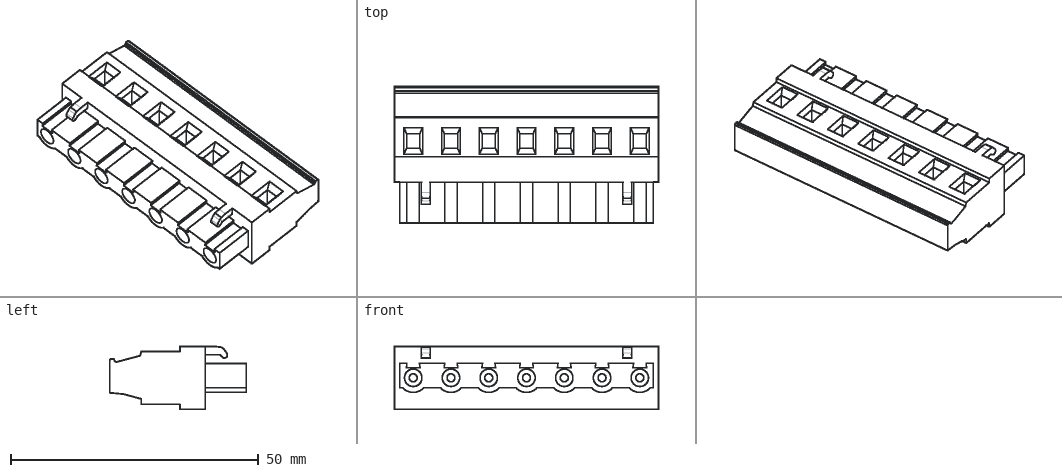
import cadquery as cq


pole_count = 7
length = 53.35
pitch = length / pole_count
pole_xs = [(i - (pole_count - 1) / 2) * pitch for i in range(pole_count)]

height = 12.7
housing_depth = 19.3
flange_depth = 5.1
flange_step = 1.0
middle_back = 12.95
slope_start = 13.2
slope_top_start = height - 1.85
slope_top_end = height - 3.15
slope_bottom_start = 2.1
slope_bottom_middle = 3.05
slope_bottom_middle_y = 16.55
slope_bottom_end = 3.3
lip_top = height - 2.5
lip_front = housing_depth - 0.85
lip_foot = housing_depth - 1.0
lip_chamfer = 0.25
groove_end = housing_depth - 1.35
groove_rise = 0.2

plug_length = 8.25
plug_margin = 1.05
plug_top = height - 3.4
plug_bottom = height - 8.3
contact_z = height - 6.35
barrel_radius = 2.95
keyway_mouth_width = 2.5
keyway_floor_width = 2.8
keyway_depth = 0.85

contact_mouth = 3.5
contact_bore = 1.6
contact_cone_depth = 1.6
contact_bore_depth = 6.4

well_y = 8.3
well_width = 3.8
well_length = 5.35
well_floor_width = 2.65
well_floor_length = 3.0
well_taper_depth = 1.2
well_depth = 5.85

hook_offset = 20.3
hook_width = 1.75
hook_thickness = 1.7
hook_upper_corners = [(2.05, 0), (3.25, 0.15), (3.75, 0.55), (4.3, 1.35)]
hook_nose = (4.3, 2.15)
hook_barb = (3.65, 2.35)
hook_lower_bend = 2.95


def make_housing():
    top_middle = height - flange_step
    profile = [
        (0, 0),
        (0, height),
        (flange_depth, height),
        (flange_depth, top_middle),
        (middle_back, top_middle),
        (slope_start, slope_top_start),
        (groove_end, slope_top_end),
        (lip_foot, slope_top_end + groove_rise),
        (lip_front, lip_top),
        (housing_depth - lip_chamfer, lip_top),
        (housing_depth, lip_top - lip_chamfer),
        (housing_depth, slope_bottom_end),
        (slope_bottom_middle_y, slope_bottom_middle),
        (middle_back, slope_bottom_start),
        (middle_back, flange_step),
        (flange_depth, flange_step),
        (flange_depth, 0),
    ]
    return cq.Workplane("YZ").polyline(profile).close().extrude(length / 2, both=True)


def make_plug():
    width = length - 2 * plug_margin
    plug = cq.Workplane("XY").box(
        width, plug_length, plug_top - plug_bottom, centered=(True, False, False)
    ).translate((0, -plug_length, plug_bottom))
    barrels = (
        cq.Workplane("XZ")
        .pushPoints([(x, contact_z) for x in pole_xs])
        .circle(barrel_radius)
        .extrude(plug_length)
    )
    barrel_zone = cq.Workplane("XY").box(
        width, plug_length, contact_z, centered=(True, False, False)
    ).translate((0, -plug_length, 0))
    plug = plug.union(barrels.intersect(barrel_zone))
    keyway = (
        cq.Workplane("XZ")
        .polyline([
            (-keyway_mouth_width / 2, plug_top),
            (keyway_mouth_width / 2, plug_top),
            (keyway_floor_width / 2, plug_top - keyway_depth),
            (-keyway_floor_width / 2, plug_top - keyway_depth),
        ])
        .close()
        .extrude(plug_length)
    )
    for x in pole_xs:
        plug = plug.cut(keyway.translate((x, 0, 0)))
    return plug


def make_contact_opening(x):
    section = [
        (0, 0),
        (contact_mouth / 2, 0),
        (contact_bore / 2, contact_cone_depth),
        (contact_bore / 2, contact_bore_depth),
        (0, contact_bore_depth),
    ]
    opening = cq.Workplane("XY").polyline(section).close().revolve(360, (0, 0), (0, 1))
    return opening.translate((x, -plug_length, contact_z))


def make_screw_well(x):
    top = height - flange_step
    funnel = (
        cq.Workplane("XY")
        .rect(well_width, well_length)
        .workplane(offset=-well_taper_depth)
        .rect(well_floor_width, well_floor_length)
        .loft(ruled=True)
    )
    shaft = cq.Workplane("XY").rect(well_floor_width, well_floor_length).extrude(-well_depth)
    return funnel.union(shaft).translate((x, well_y, top))


def make_hook(x):
    def place(corner):
        reach, drop = corner
        return (-reach, height - drop)

    profile = cq.Workplane("YZ").moveTo(*place((0, 0)))
    for corner in hook_upper_corners:
        profile = profile.lineTo(*place(corner))
    profile = (
        profile
        .threePointArc(place(hook_nose), place(hook_barb))
        .lineTo(*place((hook_lower_bend, hook_thickness)))
        .lineTo(*place((0, hook_thickness)))
        .close()
    )
    return profile.extrude(hook_width / 2, both=True).translate((x, 0, 0))


result = make_housing().union(make_plug())
for x in pole_xs:
    result = result.cut(make_contact_opening(x)).cut(make_screw_well(x))
for x in (-hook_offset, hook_offset):
    result = result.union(make_hook(x))